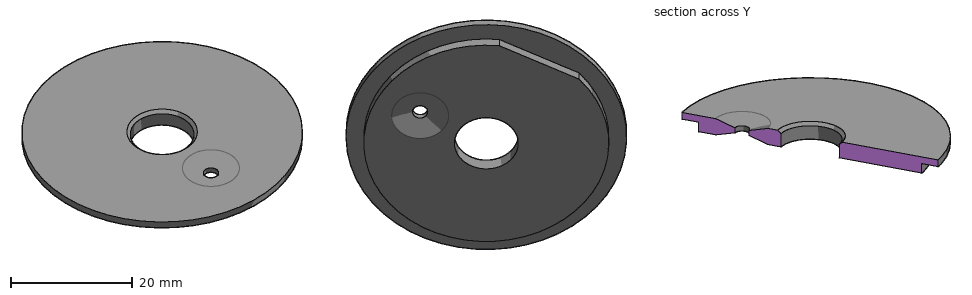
import cadquery as cq

flange_diameter = 46.3
total_height = 3.0
flange_thickness = 1.3

spigot_diameter = 40.4
flat_distance = 18.8
spigot_height = total_height - flange_thickness

bore_diameter = 10.5
bore_chamfer = 0.55

hole_offset = 12.3
hole_diameter = 2.5
countersink_diameter = 9.4
countersink_depth = 1.0


def make_spigot():
    disc = cq.Workplane("XY").circle(spigot_diameter / 2).extrude(spigot_height)
    keep_length = spigot_diameter / 2 + flat_distance
    keep_box = (
        cq.Workplane("XY")
        .center(0, flat_distance - keep_length / 2)
        .rect(spigot_diameter, keep_length)
        .extrude(spigot_height)
    )
    return disc.intersect(keep_box)


def make_flange():
    return (
        cq.Workplane("XY")
        .workplane(offset=spigot_height)
        .circle(flange_diameter / 2)
        .extrude(flange_thickness)
    )


def revolve_about_z(profile):
    """Solid of revolution from (radius, height) points."""
    return cq.Workplane("XZ").polyline(profile).close().revolve(360, (0, 0), (0, 1))


def make_bore():
    radius = bore_diameter / 2
    return revolve_about_z([
        (0, 0),
        (radius, 0),
        (radius, total_height - bore_chamfer),
        (radius + bore_chamfer, total_height),
        (0, total_height),
    ])


def make_countersunk_hole():
    hole_radius = hole_diameter / 2
    rim_radius = countersink_diameter / 2
    cutter = revolve_about_z([
        (0, 0),
        (rim_radius, 0),
        (hole_radius, countersink_depth),
        (hole_radius, total_height - countersink_depth),
        (rim_radius, total_height),
        (0, total_height),
    ])
    return cutter.translate((hole_offset, 0, 0))


result = make_spigot().union(make_flange()).cut(make_bore()).cut(make_countersunk_hole())